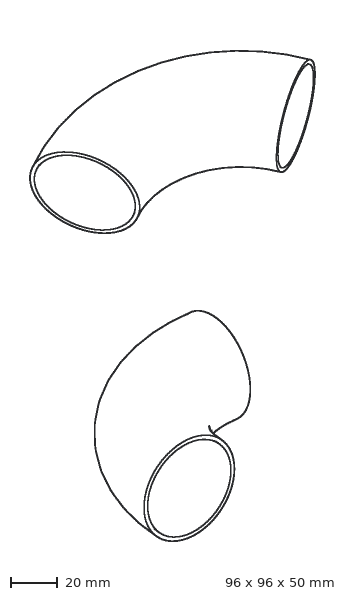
import cadquery as cq

overall_length = 96.0
outer_diameter = 50.0
wall_thickness = 2.0
bend_angle = 90.0

outer_radius = outer_diameter / 2
inner_radius = outer_radius - wall_thickness
bend_radius = overall_length - outer_radius


def pipe_bend():
    """Sweep the pipe's ring section about a vertical axis through the origin.

    One open end lies in the plane Y = 0, centred at X = -bend_radius.
    The other lies in the plane X = 0, centred at Y = bend_radius.
    """
    ring_section = (
        cq.Workplane("XZ")
        .center(-bend_radius, 0)
        .circle(outer_radius)
        .circle(inner_radius)
    )
    axis_start = (bend_radius, 0)
    axis_end = (bend_radius, -1)
    return ring_section.revolve(bend_angle, axis_start, axis_end)


result = pipe_bend()